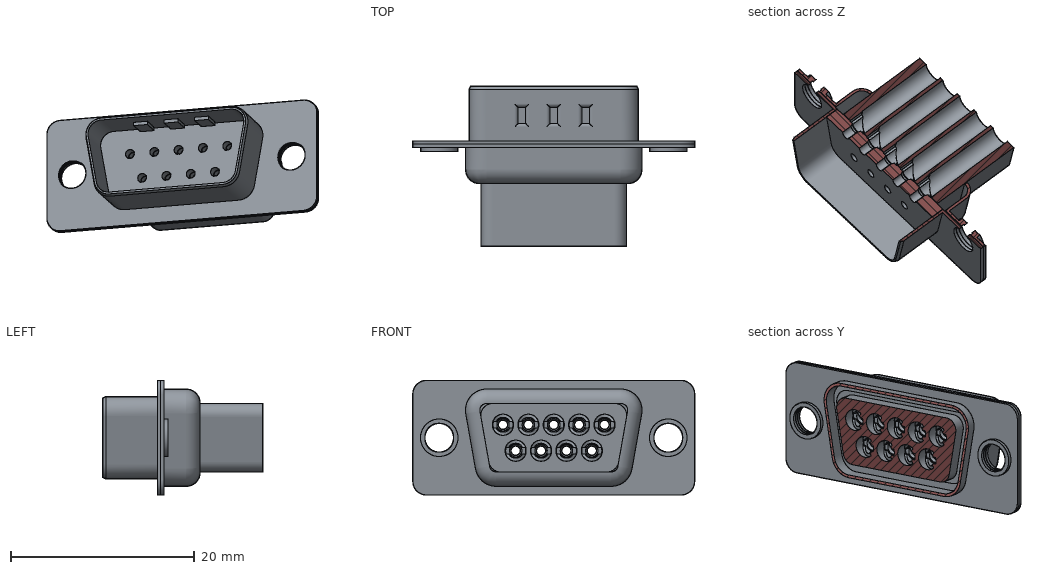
import cadquery as cq
import math

SLANT = 10
SHEET = 0.37
CLEARANCE = 0.3

flange_width = 30.8
flange_height = 12.55
flange_corner = 1.5
screw_x = 12.5
rear_screw_hole_dia = 3.1
front_screw_hole_dia = 3.2
eyelet_dia = 4.1
eyelet_bore_dia = 3.1
eyelet_height = 0.43

front_width = 15.93
front_height = 7.5
front_corner = 1.3
front_length = 11.15

bulge_round = 1.55
bulge_rim = 0.03
bulge_inset = bulge_round + bulge_rim
bulge_width = 19.3
bulge_height = front_height + 2 * bulge_inset
bulge_corner = 2.3
bulge_depth = 4.3

hood_width = 18.52
hood_height = 9.0
hood_corner = 1.85
hood_depth = 6.35
hood_chamfer_length = 0.37
hood_chamfer_inset = 0.15

dimple_width = 1.57
dimple_length = 2.53
dimple_depth = 0.37
dimple_spacing = 3.48
dimple_y = 3.15

rear_depth = 1.6

contact_pitch = 2.77
row_z = 1.42
upper_row_count = 5
lower_row_count = 4

bore_dia = 2.3
key_slot_length = 2.2
ridge_bore_dia = 1.63
ridge_rise = 1.85
key_slot_width = 0.68
funnel_dia = 1.35
funnel_depth = 0.37
pin_hole_dia = 1.0


def along_y(y):
    """Workplane across the Y axis at y whose extrusions run towards +Y; its local y is -Z."""
    return cq.Workplane("XZ", origin=(0, y, 0)).transformed(rotate=(180, 0, 0))


def d_prism(width, height, corner, y_start, y_end):
    """D-shaped prism, wide side up, with rounded corners of one radius."""
    half_height = height / 2 - corner
    top_x = width / 2 - corner
    bottom_x = top_x - 2 * half_height * math.tan(math.radians(SLANT))
    corner_centres = [
        (-top_x, half_height),
        (top_x, half_height),
        (bottom_x, -half_height),
        (-bottom_x, -half_height),
    ]
    sketch = cq.Workplane("XZ", origin=(0, y_end, 0)).polyline(corner_centres).close()
    return sketch.offset2D(corner).extrude(y_end - y_start)


def inset_d_prism(width, height, corner, inset, y_start, y_end):
    """D-shaped prism whose outline lies a constant distance inside another."""
    return d_prism(width - 2 * inset, height - 2 * inset, corner - inset, y_start, y_end)


def cylinder(diameter, y_start, y_end):
    return along_y(y_start).circle(diameter / 2).extrude(y_end - y_start)


def screw_cylinders(diameter, y_start, y_end):
    sketch = along_y(y_start).pushPoints([(-screw_x, 0), (screw_x, 0)])
    return sketch.circle(diameter / 2).extrude(y_end - y_start)


def flange(y_start, screw_hole_dia):
    plate = along_y(y_start).rect(flange_width, flange_height).extrude(SHEET)
    plate = plate.edges("|Y").fillet(flange_corner)
    return plate.cut(screw_cylinders(screw_hole_dia, y_start, y_start + SHEET))


def contact_positions():
    positions = []
    for count, z in ((upper_row_count, row_z), (lower_row_count, -row_z)):
        first_x = -contact_pitch * (count - 1) / 2
        positions += [(first_x + i * contact_pitch, z) for i in range(count)]
    return positions


def build_front_shell():
    bulge_outline = (bulge_width, bulge_height, bulge_corner)
    bulge = d_prism(*bulge_outline, -bulge_depth, 0).faces("<Y").edges().fillet(bulge_round)
    inner_front = SHEET - bulge_depth
    cavity = inset_d_prism(*bulge_outline, SHEET, inner_front, 0)
    cavity = cavity.faces("<Y").edges().fillet(bulge_round - SHEET)
    opening = inset_d_prism(*bulge_outline, bulge_inset, -bulge_depth - CLEARANCE, 0)

    eyelet_front = -SHEET - eyelet_height
    eyelets = screw_cylinders(eyelet_dia, eyelet_front, -SHEET)
    eyelets = eyelets.cut(screw_cylinders(eyelet_bore_dia, eyelet_front, -SHEET))
    return flange(-SHEET, front_screw_hole_dia).union(bulge).union(eyelets).cut(cavity).cut(opening)


def dimple_centres():
    top_z = hood_height / 2
    return [(i * dimple_spacing, dimple_y, top_z) for i in (-1, 0, 1)]


def dimple_block(depth):
    """Block hanging below the origin, as large as one dimple's outer rectangle."""
    return cq.Workplane("XY").rect(dimple_width, dimple_length).extrude(-depth)


def dimple_recess():
    """Recess whose four walls curve down from flush to upright as quarter rounds; top at Z = 0."""
    recess = dimple_block(dimple_depth)
    for axis, half_size, length in (("XZ", dimple_width / 2, dimple_length),
                                    ("YZ", dimple_length / 2, dimple_width)):
        for side in (-1, 1):
            round_over = cq.Workplane(axis).center(side * half_size, -dimple_depth)
            recess = recess.cut(round_over.circle(dimple_depth).extrude(length, both=True))
    return recess


def build_rear_shell():
    hood_outline = (hood_width, hood_height, hood_corner)
    hood = d_prism(*hood_outline, 0, hood_depth)
    hood = hood.faces(">Y").chamfer(hood_chamfer_length, hood_chamfer_inset)
    cavity = inset_d_prism(*hood_outline, SHEET, 0, hood_depth)
    shell = flange(0, rear_screw_hole_dia).union(hood).cut(cavity)
    for centre in dimple_centres():
        shell = shell.union(dimple_block(dimple_depth + SHEET).translate(centre))
        shell = shell.cut(dimple_recess().translate(centre))
    return shell


def helical_ridge():
    """Half-turn ramp below the contact axis, rising from Y = 0 at -X to -ridge_rise at +X."""
    inner_rail, outer_rail = [
        cq.Wire.makeHelix(2 * ridge_rise, ridge_rise, diameter / 2).Edges()[0]
        for diameter in (ridge_bore_dia, bore_dia)
    ]
    ramp = cq.Face.makeRuledSurface(inner_rail, outer_rail)
    ridge = cq.Workplane(cq.Solid.extrudeLinear(ramp, cq.Vector(0, 0, ridge_rise)))
    return ridge.rotate((0, 0, 0), (1, 0, 0), -90).translate((0, -ridge_rise, 0))


def contact_cavity():
    """Bore with two mirrored ridges at its inner end, parted by a round-ended slot along X."""
    slot_box = along_y(-ridge_rise).rect(key_slot_length, key_slot_width).extrude(ridge_rise)
    slot = slot_box.intersect(cylinder(key_slot_length, -ridge_rise, 0))
    lower_ridge = helical_ridge()
    upper_ridge = lower_ridge.mirror("XY")
    bore = cylinder(bore_dia, -front_length, 0)
    return bore.cut(lower_ridge).cut(upper_ridge).union(slot)


def contact_passage():
    """Funnel and pin hole through the rear insulator."""
    funnel = along_y(0).circle(funnel_dia / 2).workplane(offset=funnel_depth)
    funnel = funnel.circle(pin_hole_dia / 2).loft()
    return funnel.union(cylinder(pin_hole_dia, 0, rear_depth))


def cut_at_contacts(insulator, tool):
    for x, z in contact_positions():
        insulator = insulator.cut(tool.translate((x, 0, z)))
    return insulator


def build_front_insulator():
    block = d_prism(front_width, front_height, front_corner, -front_length, 0)
    return cut_at_contacts(block, contact_cavity())


def build_rear_insulator():
    block = inset_d_prism(hood_width, hood_height, hood_corner, SHEET, 0, rear_depth)
    return cut_at_contacts(block, contact_passage())


front_shell = build_front_shell()
rear_shell = build_rear_shell()
front_insulator = build_front_insulator()
rear_insulator = build_rear_insulator()
result = cq.Compound.makeCompound(
    [front_shell.val(), rear_shell.val(), front_insulator.val(), rear_insulator.val()]
)